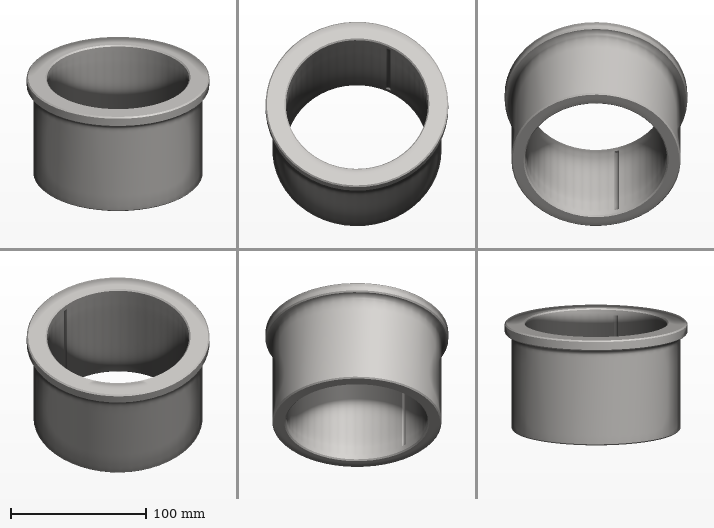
import cadquery as cq

height = 80.0
flange_diameter = 135.0
body_diameter = 125.0
bore_diameter = 105.0
flange_thickness = 8.0
edge_chamfer = 1.0
neck_fillet = 3.5

groove_diameter = 3.5
groove_end_margin = 5.0

flange_radius = flange_diameter / 2
body_radius = body_diameter / 2
bore_radius = bore_diameter / 2
flange_bottom = height - flange_thickness


def make_bushing():
    """Revolve the chamfered wall section about Z."""
    section = (
        cq.Workplane("XZ")
        .moveTo(bore_radius + edge_chamfer, 0)
        .lineTo(body_radius - edge_chamfer, 0)
        .lineTo(body_radius, edge_chamfer)
        .lineTo(body_radius, flange_bottom - neck_fillet)
        .radiusArc((body_radius + neck_fillet, flange_bottom), neck_fillet)
        .lineTo(flange_radius - edge_chamfer, flange_bottom)
        .lineTo(flange_radius, flange_bottom + edge_chamfer)
        .lineTo(flange_radius, height - edge_chamfer)
        .lineTo(flange_radius - edge_chamfer, height)
        .lineTo(bore_radius + edge_chamfer, height)
        .lineTo(bore_radius, height - edge_chamfer)
        .lineTo(bore_radius, edge_chamfer)
        .close()
    )
    return section.revolve(360, (0, 0, 0), (0, 1, 0))


def make_groove_cutter():
    """Upright round bar centred on the bore wall."""
    return (
        cq.Workplane("XY", origin=(bore_radius, 0, groove_end_margin))
        .circle(groove_diameter / 2)
        .extrude(height - 2 * groove_end_margin)
    )


result = make_bushing().cut(make_groove_cutter())